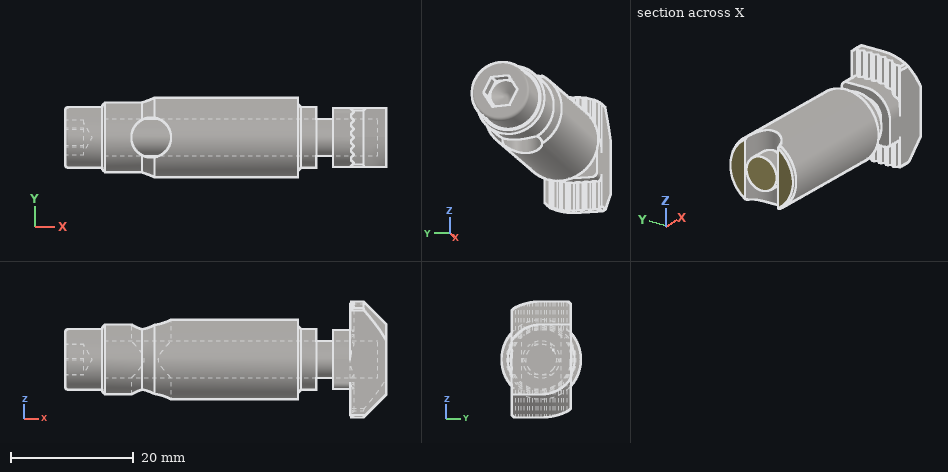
import cadquery as cq
import math


screw_head_radius = 5.0
screw_head_length = 6.05
screw_head_fillet = 0.6
shank_radius = 3.05
shank_length = 45.0
screw_end = screw_head_length + shank_length
socket_flats = 5.0
socket_depth = 3.0
socket_turn = 2.5
socket_cone_depth = 1.4

sleeve_start = screw_head_length
front_radius = 5.7
front_chamfer = 0.5
flare_start = 12.55
flare_end = 14.6
body_radius = 6.5
body_end = 38.0
collar_radius = screw_head_radius
collar_end = 41.0
collar_root = 0.45
cross_hole_radius = 3.25
cross_hole_x = 14.05

nut_half_width = 4.8
neck_start = 43.65
neck_corner = 0.95
head_start = 46.5
head_end = 52.4
head_half_height = 9.5
head_corner = 0.4
taper_start = 48.65
tooth_pitch = 1.395
tooth_flat = 0.35
valley_count = 7


def revolve_about_x(points):
    """Solid of revolution about the X axis from (x, radius) points."""
    return cq.Workplane("XY").polyline(points).close().revolve(360, (0, 0, 0), (1, 0, 0))


def cylinder_along_x(radius, start, end):
    return cq.Workplane("YZ", origin=(start, 0, 0)).circle(radius).extrude(end - start)


def make_screw():
    head = cylinder_along_x(screw_head_radius, 0, screw_head_length)
    head = head.faces("<X").edges().fillet(screw_head_fillet)
    shank = cylinder_along_x(shank_radius, screw_head_length, screw_end)

    socket_corner_circle = socket_flats / math.cos(math.radians(30))
    socket = cq.Workplane("YZ").polygon(6, socket_corner_circle).extrude(socket_depth)
    socket = socket.rotate((0, 0, 0), (1, 0, 0), -socket_turn)
    socket_cone = revolve_about_x([
        (socket_depth, 0),
        (socket_depth, socket_flats / 2),
        (socket_depth + socket_cone_depth, 0),
    ])
    return head.union(shank).cut(socket).cut(socket_cone)


def make_sleeve():
    sleeve = revolve_about_x([
        (sleeve_start, shank_radius),
        (sleeve_start, front_radius - front_chamfer),
        (sleeve_start + front_chamfer, front_radius),
        (flare_start, front_radius),
        (flare_end, body_radius),
        (body_end, body_radius),
        (body_end, collar_radius + collar_root),
        (body_end + collar_root, collar_radius),
        (collar_end, collar_radius),
        (collar_end, shank_radius),
    ])
    cross_hole = (
        cq.Workplane("XY", origin=(cross_hole_x, 0, -body_radius))
        .circle(cross_hole_radius)
        .extrude(2 * body_radius)
    )
    return sleeve.cut(cross_hole)


def make_neck(end):
    """Square block with two opposite quadrants fully rounded, so the nut can turn in a slot."""
    half = nut_half_width
    arc_middle = half * math.sqrt(0.5)
    neck = (
        cq.Workplane("YZ", origin=(neck_start, 0, 0))
        .moveTo(0, half)
        .lineTo(half, half)
        .lineTo(half, 0)
        .threePointArc((arc_middle, -arc_middle), (0, -half))
        .lineTo(-half, -half)
        .lineTo(-half, 0)
        .threePointArc((-arc_middle, arc_middle), (0, half))
        .close()
        .extrude(end - neck_start)
    )
    middle_x = (neck_start + end) / 2
    for side in (1, -1):
        corner = (middle_x, side * half, side * half)
        neck = neck.edges(cq.selectors.NearestToPointSelector(corner)).fillet(neck_corner)
    return neck


def head_outline():
    """Head outline: two square quadrants and two rounded about the nut axis, extruded along X."""
    inner_y = nut_half_width - head_corner
    arc_end_z = math.sqrt(head_half_height**2 - inner_y**2)
    arc_middle_y = inner_y / 2
    arc_middle_z = math.sqrt(head_half_height**2 - arc_middle_y**2)
    return (
        cq.Workplane("YZ", origin=(head_start, 0, 0))
        .moveTo(0, head_half_height)
        .lineTo(inner_y, head_half_height)
        .lineTo(nut_half_width, head_half_height - head_corner)
        .lineTo(nut_half_width, head_corner - arc_end_z)
        .lineTo(inner_y, -arc_end_z)
        .threePointArc((arc_middle_y, -arc_middle_z), (0, -head_half_height))
        .lineTo(-inner_y, -head_half_height)
        .lineTo(-nut_half_width, head_corner - head_half_height)
        .lineTo(-nut_half_width, arc_end_z - head_corner)
        .lineTo(-inner_y, arc_end_z)
        .threePointArc((-arc_middle_y, arc_middle_z), (0, head_half_height))
        .close()
        .extrude(head_end - head_start)
    )


def quadrant(y_side, z_side):
    """Block filling one quadrant of the head's surrounding box."""
    length = head_end - head_start
    return cq.Workplane("XY").box(length, nut_half_width, head_half_height).translate(
        (head_start + length / 2, y_side * nut_half_width / 2, z_side * head_half_height / 2)
    )


def make_head():
    """Head tapered at the back: flat bevels on the square quadrants, a cone on the rounded ones."""
    back_half_height = head_half_height - (head_end - taper_start)
    upper_profile = [
        (head_start, 0),
        (head_start, head_half_height),
        (taper_start, head_half_height),
        (head_end, back_half_height),
        (head_end, 0),
    ]
    cone = revolve_about_x(upper_profile)
    upper_bevel = (
        cq.Workplane("XZ", origin=(0, nut_half_width, 0))
        .polyline(upper_profile)
        .close()
        .extrude(nut_half_width)
    )
    lower_bevel = upper_bevel.rotate((0, 0, 0), (1, 0, 0), 180)
    envelope = (
        upper_bevel.union(lower_bevel)
        .union(cone.intersect(quadrant(-1, 1)))
        .union(cone.intersect(quadrant(1, -1)))
    )
    return head_outline().intersect(envelope)


def make_serration(valley_x):
    """Cutter for the vertical teeth on the face that grips the profile."""
    depth = (tooth_pitch - tooth_flat) / 2
    valley_ys = [(i - (valley_count - 1) / 2) * tooth_pitch for i in range(valley_count)]
    points = [(neck_start, -nut_half_width), (head_start, -nut_half_width)]
    for y in valley_ys[:-1]:
        points.append((valley_x, y))
        points.append((valley_x - depth, y + depth))
        points.append((valley_x - depth, y + depth + tooth_flat))
    points.append((valley_x, valley_ys[-1]))
    points.append((head_start, nut_half_width))
    points.append((neck_start, nut_half_width))
    return (
        cq.Workplane("XY", origin=(0, 0, -head_half_height))
        .polyline(points)
        .close()
        .extrude(2 * head_half_height)
    )


def make_nut():
    outer_valley_y = (valley_count - 1) / 2 * tooth_pitch
    valley_x = head_start + nut_half_width - outer_valley_y
    head = make_head().cut(make_serration(valley_x))
    screw_hole = cylinder_along_x(shank_radius, neck_start, screw_end)
    return head.union(make_neck(valley_x)).cut(screw_hole)


screw = make_screw()
sleeve = make_sleeve()
nut = make_nut()

result = cq.Compound.makeCompound([screw.val(), sleeve.val(), nut.val()])